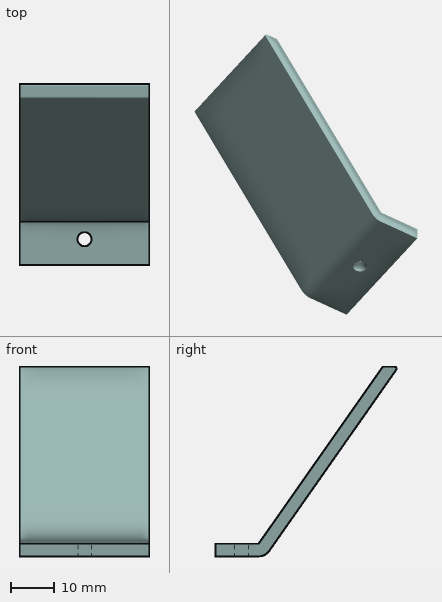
import cadquery as cq
import math

width = 30.0
thickness = 3.0
foot_length = 10.0
total_height = 43.96
arm_angle = 54.95
tip_radius = 0.5
hole_diameter = 3.2
hole_from_front = 6.0
front_y = 0.0


def bent_plate():
    """Foot and leaning arm, with a sharp inner bend and a rounded outer bend."""
    cos_a = math.cos(math.radians(arm_angle))
    sin_a = math.sin(math.radians(arm_angle))
    half_angle = math.radians(arm_angle / 2)

    bend_y = front_y + foot_length
    arm_rise = total_height - thickness
    inner_tip_y = bend_y + arm_rise * cos_a / sin_a
    outer_tip_y = inner_tip_y + thickness / sin_a

    arc_middle = (bend_y + thickness * math.sin(half_angle), thickness * (1 - math.cos(half_angle)))
    arc_end = (bend_y + thickness * sin_a, thickness * (1 - cos_a))

    return (
        cq.Workplane("YZ")
        .moveTo(front_y, 0)
        .lineTo(bend_y, 0)
        .threePointArc(arc_middle, arc_end)
        .lineTo(outer_tip_y, total_height)
        .lineTo(inner_tip_y, total_height)
        .lineTo(bend_y, thickness)
        .lineTo(front_y, thickness)
        .close()
        .extrude(width / 2, both=True)
    )


def round_tip(plate):
    """Round both long edges of the level top face of the arm."""
    return plate.faces(">Z").edges("|X").fillet(tip_radius)


def foot_hole():
    """Cutter for the vertical mounting hole through the foot."""
    return (
        cq.Workplane("XY")
        .center(0, front_y + hole_from_front)
        .circle(hole_diameter / 2)
        .extrude(thickness)
    )


result = round_tip(bent_plate()).cut(foot_hole())